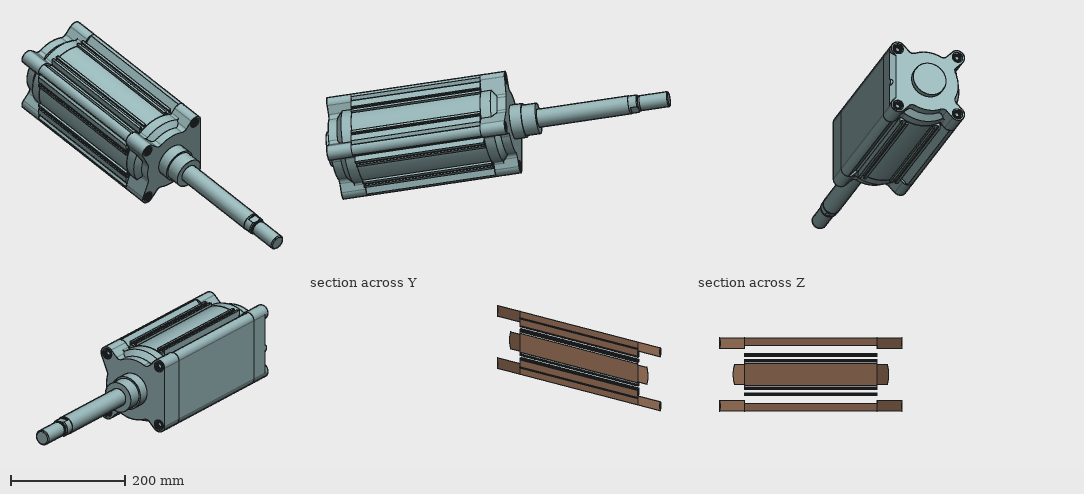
import cadquery as cq
import math

HALF_SIDE = 67.5
LUG_CENTRE = 55.0
LUG_RADIUS = HALF_SIDE - LUG_CENTRE

REAR_FACE = 10.0
CAP_LENGTH = 44.0
REAR_JOINT = REAR_FACE + CAP_LENGTH
FRONT_JOINT = 285.0
FRONT_FACE = FRONT_JOINT + CAP_LENGTH
FLANGE_END = 349.5
COLLAR_END = 374.5
SHANK_END = 538.5
WRENCH_END = 555.0
THREAD_START = 558.0
ROD_END = 609.0

SHOULDER_RADIUS = 66.0
WAIST_RADIUS = 56.0
WAIST_LENGTH = 16.0
CONE_LENGTH = SHOULDER_RADIUS - WAIST_RADIUS
SHOULDER_LENGTH = CAP_LENGTH - WAIST_LENGTH - CONE_LENGTH
WAIST_FILLET = 9.0
SHOULDER_FILLET = 4.0
SHALLOW_WALL_ANGLE = math.radians(22.5)
WALL_FOOT = 15.0

FLAT_Y = 58.5
VALVE_DIAMETER = 13.0
VALVE_X = 21.0
VALVE_Z = -8.5

BOSS_DIAMETER = 60.0
COLLAR_DIAMETER = 54.0

RECESS_DIAMETER = 19.0
RECESS_DEPTH = 0.9
SEAT_DIAMETER = 14.0
SCREW_HOLE_DIAMETER = 8.5
SCREW_HOLE_MOUTH = 10.5
SCREW_HOLE_DEPTH = 5.5
DRILL_POINT_ANGLE = math.radians(118)

BARREL_RADIUS = 66.5
RAIL_INNER = 22.0
TOP_RAIL_OUTER = 36.5
SLOT_CENTRE = 29.0
SLOT_MOUTH = 5.5
SLOT_WIDTH = 10.0
LIP_THICKNESS = 3.0
SLOT_FLOOR = 61.5
NOTCH_TOP = 55.0
NOTCH_BOTTOM = 45.0

ROD_DIAMETER = 32.0
WRENCH_DIAMETER = 31.0
WRENCH_FLATS = 27.0
FLAT_START = 541.5
NECK_DIAMETER = 24.0
THREAD_DIAMETER = 27.0
ROD_CHAMFER = 2.0

TOLERANCE = 0.05

LUGS = [(y * LUG_CENTRE, z * LUG_CENTRE) for y in (-1, 1) for z in (-1, 1)]


def plane_at(x):
    """YZ plane at station x, extruding toward +X."""
    return cq.Workplane("YZ", origin=(x, 0, 0))


def disc(x, radius, length):
    return plane_at(x).circle(radius).extrude(length)


def block(x0, x1, y0, y1, z0, z1):
    return cq.Workplane().box(x1 - x0, y1 - y0, z1 - z0, centered=False).translate((x0, y0, z0))


def revolved(outline):
    """Body of revolution about the X axis from (x, radius) points."""
    return cq.Workplane("XY").polyline(outline).close().revolve(360, (0, 0, 0), (1, 0, 0))


def diagonal_arms(x, length):
    """Two crossing bars with round ends, which carry the four lugs."""
    span = 2 * (math.hypot(LUG_CENTRE, LUG_CENTRE) + LUG_RADIUS)
    rising = plane_at(x).slot2D(span, 2 * LUG_RADIUS, 45).extrude(length)
    falling = plane_at(x).slot2D(span, 2 * LUG_RADIUS, -45).extrude(length)
    return rising.union(falling)


def plus_y_fill(x, length):
    """Solid wall that closes the +Y side between its two lugs."""
    half = LUG_CENTRE
    outline = [(0, 0), (half, half), (HALF_SIDE, half), (HALF_SIDE, -half), (half, -half)]
    return plane_at(x).polyline(outline).close().extrude(length)


def shallow_walls(x, length):
    """Wedges that make the -Y pocket shallower, tangent to the two -Y lugs."""
    y_touch = -(LUG_CENTRE + LUG_RADIUS * math.cos(SHALLOW_WALL_ANGLE))
    z_touch = LUG_CENTRE - LUG_RADIUS * math.sin(SHALLOW_WALL_ANGLE)
    y_foot = y_touch + (z_touch - WALL_FOOT) * math.tan(SHALLOW_WALL_ANGLE)
    outline = [(0, 0), (-LUG_CENTRE, LUG_CENTRE), (y_touch, z_touch), (y_foot, WALL_FOOT)]
    wedge = plane_at(x).polyline(outline).close().extrude(length)
    return wedge.union(wedge.mirror("XY"))


def pocket_corners(body, radius):
    """Edges along X where the pocket walls meet the disc of this radius."""
    return [
        edge
        for edge in body.edges("|X").vals()
        if abs(math.hypot(edge.Center().y, edge.Center().z) - radius) < TOLERANCE
    ]


def cap_waist(x, side_walls):
    """Full-length lugs and waist, with side_walls added and the pocket corners rounded."""
    body = disc(x, WAIST_RADIUS, CAP_LENGTH).union(diagonal_arms(x, CAP_LENGTH)).union(side_walls)
    return body.newObject(pocket_corners(body, WAIST_RADIUS)).fillet(WAIST_FILLET)


def cap_shoulder(x):
    """Wide part next to the barrel; only its +Z and -Z pockets have rounded corners."""
    body = disc(x, SHOULDER_RADIUS, SHOULDER_LENGTH).union(diagonal_arms(x, SHOULDER_LENGTH))
    corners = [
        edge
        for edge in pocket_corners(body, SHOULDER_RADIUS)
        if abs(edge.Center().z) > abs(edge.Center().y)
    ]
    return body.newObject(corners).fillet(SHOULDER_FILLET)


def cap_cone(base_x, tip_x):
    """Cone that narrows from the shoulder at base_x to the waist at tip_x."""
    outline = [(base_x, 0), (base_x, SHOULDER_RADIUS), (tip_x, WAIST_RADIUS), (tip_x, 0)]
    return revolved(outline)


def screw_recesses(face_x, inward):
    """Two-step counterbores and drilled holes in the lugs; inward is +1 or -1 along X."""
    recess_radius = RECESS_DIAMETER / 2
    seat_radius = SEAT_DIAMETER / 2
    mouth_radius = SCREW_HOLE_MOUTH / 2
    hole_radius = SCREW_HOLE_DIAMETER / 2
    seat_depth = 2 * RECESS_DEPTH
    steps = [
        (0, 0),
        (0, recess_radius),
        (RECESS_DEPTH, recess_radius),
        (RECESS_DEPTH, seat_radius),
        (seat_depth, seat_radius),
        (seat_depth, mouth_radius),
        (seat_depth + mouth_radius - hole_radius, hole_radius),
        (SCREW_HOLE_DEPTH, hole_radius),
        (SCREW_HOLE_DEPTH + hole_radius / math.tan(DRILL_POINT_ANGLE / 2), 0),
    ]
    tool = revolved([(face_x + inward * depth, radius) for depth, radius in steps])
    tools = cq.Workplane()
    for y, z in LUGS:
        tools = tools.union(tool.translate((0, y, z)))
    return tools


def build_rear_cap():
    bevel = HALF_SIDE - FLAT_Y
    bevel_edge = cq.selectors.NearestToPointSelector((REAR_FACE, HALF_SIDE, 0))
    flat_side = plus_y_fill(REAR_FACE, CAP_LENGTH).edges(bevel_edge).chamfer(bevel)
    shoulder_x = REAR_JOINT - SHOULDER_LENGTH
    body = cap_waist(REAR_FACE, flat_side).union(cap_shoulder(shoulder_x))
    body = body.union(cap_cone(shoulder_x, shoulder_x - CONE_LENGTH))
    valve = (
        cq.Workplane("XZ", origin=(VALVE_X, HALF_SIDE, VALVE_Z))
        .circle(VALVE_DIAMETER / 2)
        .extrude(bevel)
    )
    boss = disc(0, BOSS_DIAMETER / 2, REAR_JOINT)
    return body.union(valve).union(boss).cut(screw_recesses(REAR_FACE, 1))


def build_front_cap():
    walls = plus_y_fill(FRONT_JOINT, CAP_LENGTH).union(shallow_walls(FRONT_JOINT, CAP_LENGTH))
    shoulder_end = FRONT_JOINT + SHOULDER_LENGTH
    body = cap_waist(FRONT_JOINT, walls).union(cap_shoulder(FRONT_JOINT))
    body = body.union(cap_cone(shoulder_end, shoulder_end + CONE_LENGTH))
    flange = disc(FRONT_FACE, BOSS_DIAMETER / 2, FLANGE_END - FRONT_FACE)
    collar = disc(FLANGE_END, COLLAR_DIAMETER / 2, COLLAR_END - FLANGE_END)
    rod_bore = disc(FRONT_JOINT, ROD_DIAMETER / 2, COLLAR_END - FRONT_JOINT)
    return body.union(flange).union(collar).cut(rod_bore).cut(screw_recesses(FRONT_FACE, -1))


def slot_tool():
    """T-slot for the +Z side, centred on the XZ plane."""
    mouth = block(REAR_JOINT, FRONT_JOINT, -SLOT_MOUTH / 2, SLOT_MOUTH / 2, SLOT_FLOOR, HALF_SIDE)
    wide = block(
        REAR_JOINT, FRONT_JOINT, -SLOT_WIDTH / 2, SLOT_WIDTH / 2, SLOT_FLOOR, HALF_SIDE - LIP_THICKNESS
    )
    return mouth.union(wide)


def barrel_corners(length):
    """Rounded square cut down to two diagonal bands, whose sides start where the corner arcs end."""
    side = 2 * HALF_SIDE
    band_width = math.sqrt(2) * LUG_RADIUS
    rounded_square = plane_at(REAR_JOINT).rect(side, side).extrude(length).edges("|X").fillet(LUG_RADIUS)
    band = plane_at(REAR_JOINT).rect(2 * side, band_width).extrude(length)
    rising = band.rotate((0, 0, 0), (1, 0, 0), 45)
    falling = band.rotate((0, 0, 0), (1, 0, 0), -45)
    return rounded_square.intersect(rising.union(falling))


def build_barrel():
    length = FRONT_JOINT - REAR_JOINT
    body = disc(REAR_JOINT, BARREL_RADIUS, length).union(barrel_corners(length))
    body = body.union(plus_y_fill(REAR_JOINT, length))

    top_rail = block(REAR_JOINT, FRONT_JOINT, RAIL_INNER, TOP_RAIL_OUTER, 0, HALF_SIDE)
    side_rail = block(REAR_JOINT, FRONT_JOINT, -HALF_SIDE, 0, RAIL_INNER, LUG_CENTRE)
    notch_outline = [
        (-HALF_SIDE, NOTCH_TOP),
        (-HALF_SIDE + (NOTCH_TOP - NOTCH_BOTTOM) / 2, (NOTCH_TOP + NOTCH_BOTTOM) / 2),
        (-HALF_SIDE, NOTCH_BOTTOM),
    ]
    notch = plane_at(REAR_JOINT).polyline(notch_outline).close().extrude(length)
    for one_rail in (top_rail, top_rail.mirror("XZ")):
        body = body.union(one_rail).union(one_rail.mirror("XY"))
    body = body.union(side_rail).union(side_rail.mirror("XY"))
    body = body.cut(notch).cut(notch.mirror("XY"))

    for offset in (-SLOT_CENTRE, SLOT_CENTRE):
        slot = slot_tool().translate((0, offset, 0))
        for angle in (0, 90, 180):
            body = body.cut(slot.rotate((0, 0, 0), (1, 0, 0), angle))
    return body


def build_rod():
    shank = disc(FRONT_JOINT, ROD_DIAMETER / 2, SHANK_END - FRONT_JOINT)
    wrench = disc(SHANK_END, WRENCH_DIAMETER / 2, WRENCH_END - SHANK_END).faces(">X").chamfer(ROD_CHAMFER)
    flat_depth = WRENCH_DIAMETER - WRENCH_FLATS
    for side in (-1, 1):
        cutter = (
            cq.Workplane()
            .box(WRENCH_END - FLAT_START, WRENCH_DIAMETER, flat_depth)
            .translate(((FLAT_START + WRENCH_END) / 2, 0, side * (WRENCH_FLATS + flat_depth) / 2))
        )
        wrench = wrench.cut(cutter)
    neck = disc(WRENCH_END, NECK_DIAMETER / 2, THREAD_START - WRENCH_END)
    thread = disc(THREAD_START, THREAD_DIAMETER / 2, ROD_END - THREAD_START).faces(">X").chamfer(ROD_CHAMFER)
    return shank.union(wrench).union(neck).union(thread)


rear_cap = build_rear_cap()
barrel = build_barrel()
front_cap = build_front_cap()
rod = build_rod()

result = cq.Compound.makeCompound([rear_cap.val(), barrel.val(), front_cap.val(), rod.val()])